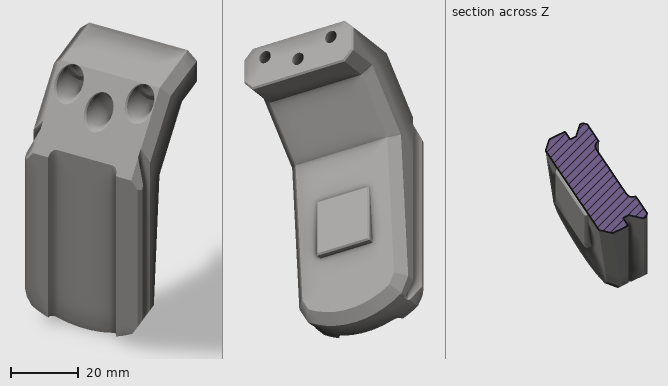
import cadquery as cq
import math

tolerance = 1e-6

width = 38.0
depth = 40.86
height = 82.6
half_width = width / 2

top_front_y = 20.4
flange_thickness = 13.8
flange_root_y = 30.95
knee_y = 16.55
back_angle = 5.0
front_allowance = 10.0

corner_top_z = 9.6
corner_bottom_z = 4.8
corner_bottom_x = 16.4

body_bevel = 3.0
small_bevel = 0.5

groove_half_width = 15.9
groove_rear_y = 7.0
dovetail_tip_y = 2.0
rail_edge_bevel = 1.0
side_clearance = 1.0
groove_front_y = dovetail_tip_y + half_width - groove_half_width

channel_width = 22.0
channel_depth = 2.0
channel_radius = 2.0

screw_centres = [(-11.5, 78.2), (0.0, 74.2), (11.5, 78.2)]
screw_diameter = 4.0
counterbore_diameter = 8.0
counterbore_floor_y = 23.8
mouth_bevel = 0.49

pad_width = 18.3
pad_height = 18.3
pad_bottom_z = 22.0
pad_face_y = 16.1
pad_root_y = 10.0


def front_outline():
    """Prism along Y with the outline of the part in XZ, rounded at the bottom."""
    return (
        cq.Workplane("XZ", origin=(0, depth, 0))
        .moveTo(-half_width, height)
        .lineTo(-half_width, corner_top_z)
        .lineTo(-corner_bottom_x, corner_bottom_z)
        .threePointArc((0, 0), (corner_bottom_x, corner_bottom_z))
        .lineTo(half_width, corner_top_z)
        .lineTo(half_width, height)
        .close()
        .extrude(depth + front_allowance)
    )


def side_profile():
    """Bent arm profile in YZ, extruded over the full width."""
    flange_bottom_z = height - flange_thickness
    knee_z = flange_bottom_z - (flange_root_y - knee_y)
    back_bottom_y = knee_y - knee_z * math.tan(math.radians(back_angle))
    slope_end_z = height - top_front_y - front_allowance
    return (
        cq.Workplane("YZ")
        .polyline([
            (depth, height),
            (top_front_y, height),
            (-front_allowance, slope_end_z),
            (-front_allowance, 0),
            (back_bottom_y, 0),
            (knee_y, knee_z),
            (flange_root_y, flange_bottom_z),
            (depth, flange_bottom_z),
        ])
        .close()
        .extrude(half_width, both=True)
    )


def bevelled_body():
    """Arm with its side edges bevelled; the front face is left unbevelled."""
    blank = side_profile().intersect(front_outline())
    edges = []
    for face in blank.faces("%PLANE").vals():
        normal = face.normalAt()
        runs_across = abs(normal.x) < tolerance
        is_end_face = abs(normal.y) > 1 - tolerance
        if runs_across and not is_end_face:
            edges += cq.Workplane(obj=face).edges("not |X").vals()
    body = blank.newObject(edges).chamfer(body_bevel)
    body = body.faces(">Y").edges().chamfer(small_bevel)
    front_stock = (
        cq.Workplane("XY", origin=(0, -front_allowance, 0))
        .box(width, front_allowance, height, centered=(True, False, False))
    )
    return body.cut(front_stock)


def dovetail_groove(side):
    """Cutter for one side of the rail: groove, 45 degree flank and edge bevel."""
    outside_x = side * (half_width + side_clearance)
    groove = (
        cq.Workplane("XY")
        .polyline([
            (outside_x, groove_rear_y),
            (side * groove_half_width, groove_rear_y),
            (side * groove_half_width, groove_front_y),
            (side * half_width, dovetail_tip_y),
            (outside_x, dovetail_tip_y),
        ])
        .close()
        .extrude(height)
    )
    edge_bevel = (
        cq.Workplane("XY")
        .polyline([
            (side * (half_width - rail_edge_bevel), 0),
            (side * half_width, 0),
            (side * half_width, rail_edge_bevel),
        ])
        .close()
        .extrude(height)
    )
    return groove.union(edge_bevel)


def front_channel():
    """Shallow full-length channel cutter with rounded floor corners."""
    return (
        cq.Workplane("XY")
        .box(channel_width, 2 * channel_depth, height, centered=(True, True, False))
        .edges("|Z and >Y")
        .fillet(channel_radius)
    )


def screw_hole(x, z):
    """Cutter for a through hole and counterbore with a bevelled inner step."""
    hole_radius = screw_diameter / 2
    bore_radius = counterbore_diameter / 2
    return (
        cq.Workplane("XY")
        .polyline([
            (0, 0),
            (bore_radius, 0),
            (bore_radius, counterbore_floor_y),
            (hole_radius + small_bevel, counterbore_floor_y),
            (hole_radius, counterbore_floor_y + small_bevel),
            (hole_radius, depth),
            (0, depth),
        ])
        .close()
        .revolve(360, (0, 0), (0, 1))
        .translate((x, 0, z))
    )


def bevel_bore_mouths(body):
    """Bevel the elliptical counterbore rims on the 45 degree front slope."""
    return body.faces(">(0, -1, 1)").edges("%ELLIPSE").chamfer(mouth_bevel)


def back_pad():
    """Rectangular pad standing on the back face, its outer edges bevelled."""
    return (
        cq.Workplane("XY", origin=(0, pad_root_y, pad_bottom_z))
        .box(pad_width, pad_face_y - pad_root_y, pad_height, centered=(True, False, False))
        .faces(">Y")
        .edges()
        .chamfer(small_bevel)
    )


result = bevelled_body()
for centre_x, centre_z in screw_centres:
    result = result.cut(screw_hole(centre_x, centre_z))
result = bevel_bore_mouths(result)
for side in (-1, 1):
    result = result.cut(dovetail_groove(side))
result = result.cut(front_channel())
result = result.union(back_pad())